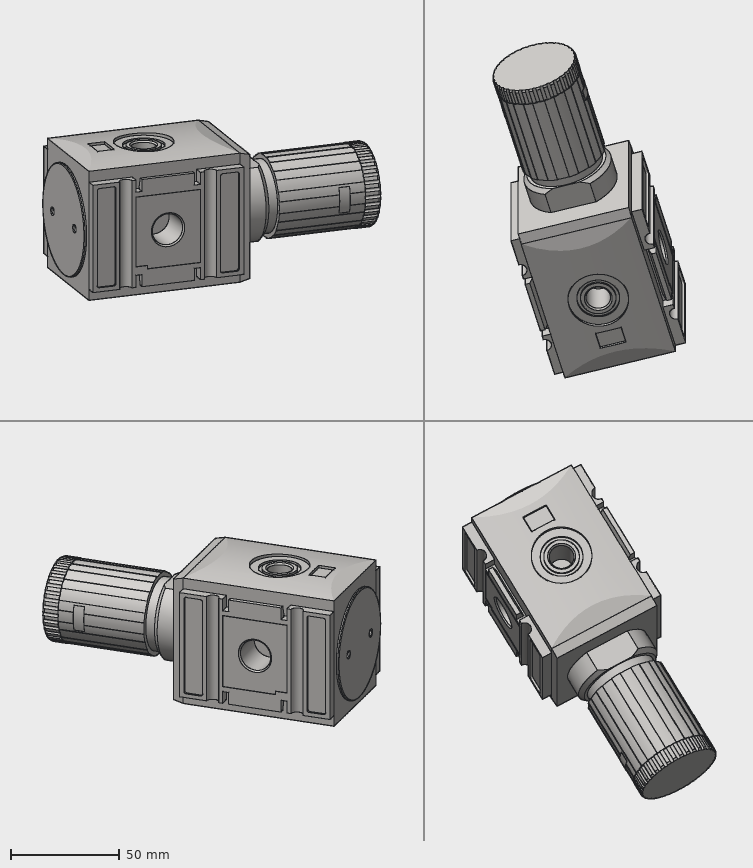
import cadquery as cq


BODY_WIDTH = 53.1
BODY_EDGE_HEIGHT = 62.8
BODY_CROWN_HEIGHT = 67.2
BLOCK_LENGTH = 75.0
COLLAR_LENGTH = 5.0
SLOPE_LENGTH = 8.5
COLLAR_END = BLOCK_LENGTH + COLLAR_LENGTH
MID_Y = BLOCK_LENGTH / 2
CROWN_RISE = (BODY_CROWN_HEIGHT - BODY_EDGE_HEIGHT) / 2
SLOPE = CROWN_RISE / SLOPE_LENGTH

OVERALL_WIDTH = 63.0
PLATE_HEIGHT = 52.2
PLATE_SETBACK = 0.08
FACE_X = OVERALL_WIDTH / 2
CHANNEL_RADIUS = 3.0
CHANNEL_OFFSET = 21.0
POCKET_SIZE = (9.3, 48.3)
POCKET_OFFSET = 30.6
POCKET_DEPTH = 1.2
POCKET_CORNER = 1.2
NOTCH_LENGTH = 32.0
NOTCH_DEPTH = 5.8
NOTCH_FLOOR_Z = PLATE_HEIGHT / 2 - NOTCH_DEPTH
LIP_LENGTH = 26.1
LIP_TOP = 2.2
LIP_BASE = 4.0
PANEL_HEIGHT = 35.5
PANEL_DEPTH = 0.3
PANEL_STEP = (5.7, 1.6)

SIDE_PORT_DIAMETER = 15.0
SIDE_PORT_MOUTH = 16.5
SIDE_PORT_DEPTH = 18.0
SPOTFACE_DIAMETER = 28.0
SPOTFACE_Z = 32.0
SEAL_GROOVE_DIAMETERS = (19.8, 16.5)
SEAL_GROOVE_DEPTH = 1.0
GAUGE_PORT_DIAMETER = 11.4
GAUGE_PORT_MOUTH = 12.9
GAUGE_PORT_DEPTH = 18.0

LABEL_WIDTH = 12.3
LABEL_LENGTH = 8.2
LABEL_Y = 16.4
LABEL_FLOOR_Z = 32.2

CAP_DIAMETER = 53.5
CAP_NECK_DIAMETER = 43.8
CAP_NECK_LENGTH = 1.2
CAP_THICKNESS = 1.2
CAP_CHAMFER = 0.5
CAP_END = -(CAP_NECK_LENGTH + CAP_THICKNESS)
PIN_HOLE_DIAMETER = 3.2
PIN_HOLE_MOUTH = 4.0
PIN_HOLE_DEPTH = 3.0
PIN_HOLE_SPACING = 28.0

BONNET_DIAMETER = 42.0
BONNET_FLATS = 36.0
BONNET_END = 92.2
BONNET_CHAMFER = (2.0, 2.1)
NECK_DIAMETER = 35.0
KNOB_START = 97.2

TOTAL_LENGTH = 150.0
KNOB_END = CAP_END + TOTAL_LENGTH
GRIP_LENGTH = 7.6
GRIP_START = KNOB_END - GRIP_LENGTH
GRIP_RADIUS = 20.1
GRIP_CHAMFER = (0.5, 1.0)
KNURL_COUNT = 36
KNURL_RADIUS = 0.82
SLEEVE_RADIUS = 20.0
FLUTE_COUNT = 12
FLUTE_RADIUS = 19.6
FLUTE_WIDTH = 5.7
TAB_START = 127.0
TAB_LENGTH = 5.2
TAB_HEIGHT = 12.5


def disc(radius, y_start, y_end):
    """Cylinder on the knob axis between two Y positions."""
    return cq.Workplane("XZ", origin=(0, y_start, 0)).circle(radius).extrude(y_start - y_end)


def block(x_range, y_range, z_range):
    """Axis-aligned box given by its limits."""
    (x0, x1), (y0, y1), (z0, z1) = x_range, y_range, z_range
    return cq.Workplane("XY").box(x1 - x0, y1 - y0, z1 - z0, centered=False).translate((x0, y0, z0))


def centred(middle, size):
    return (middle - size / 2, middle + size / 2)


def bore(face, axis, mouth, diameter, depth):
    """Blind hole with a 45 degree mouth chamfer, starting at a face point and running along an axis."""
    chamfer = (mouth - diameter) / 2
    profile = [
        (0, 0),
        (mouth / 2, 0),
        (diameter / 2, chamfer),
        (diameter / 2, depth),
        (0, depth),
    ]
    side = (0, 0, 1) if axis[1] else (0, 1, 0)
    normal = cq.Vector(*side).cross(cq.Vector(*axis))
    plane = cq.Plane(origin=face, xDir=side, normal=normal.toTuple())
    return cq.Workplane(plane).polyline(profile).close().revolve(360, (0, 0), (0, 1))


def mirrored_z(shape):
    return shape.union(shape.mirror("XY"))


def mirrored_x(shape):
    return shape.union(shape.mirror("YZ"))


def crowned_envelope(y_start, y_end):
    """Part of the arched square envelope between two Y positions, trimmed by its end slopes."""
    half_width = BODY_WIDTH / 2
    edge_z = BODY_EDGE_HEIGHT / 2
    crown_z = BODY_CROWN_HEIGHT / 2
    crowned = (
        cq.Workplane("XZ", origin=(0, y_start, 0))
        .moveTo(-half_width, -edge_z)
        .threePointArc((0, -crown_z), (half_width, -edge_z))
        .lineTo(half_width, edge_z)
        .threePointArc((0, crown_z), (-half_width, edge_z))
        .close()
        .extrude(y_start - y_end)
    )
    ridge_z = edge_z + SLOPE * MID_Y
    end_z = edge_z - SLOPE * COLLAR_LENGTH
    slopes = (
        cq.Workplane("YZ")
        .polyline([
            (0, edge_z),
            (MID_Y, ridge_z),
            (COLLAR_END, end_z),
            (COLLAR_END, -end_z),
            (MID_Y, -ridge_z),
            (0, -edge_z),
        ])
        .close()
        .extrude(half_width, both=True)
    )
    return crowned.intersect(slopes)



def notch():
    """Cut in the plate's upper edge that leaves a lip with a sloping back."""
    plate_top = PLATE_HEIGHT / 2
    pocket = block((-FACE_X, -BODY_WIDTH / 2), centred(MID_Y, NOTCH_LENGTH), (NOTCH_FLOOR_Z, plate_top))
    lip = (
        cq.Workplane("XZ", origin=(0, MID_Y, 0))
        .polyline([
            (-FACE_X, NOTCH_FLOOR_Z),
            (-FACE_X + LIP_BASE, NOTCH_FLOOR_Z),
            (-FACE_X + LIP_TOP, plate_top),
            (-FACE_X, plate_top),
        ])
        .close()
        .extrude(LIP_LENGTH / 2, both=True)
    )
    return pocket.cut(lip)


def port_panel():
    """Shallow rectangular recess around the side port, with one stepped corner."""
    y_low, y_high = centred(MID_Y, NOTCH_LENGTH)
    z_low, z_high = centred(0, PANEL_HEIGHT)
    step_y, step_z = PANEL_STEP
    return (
        cq.Workplane("YZ", origin=(-FACE_X, 0, 0))
        .polyline([
            (y_low, z_high),
            (y_high, z_high),
            (y_high, z_low),
            (y_low + step_y, z_low),
            (y_low + step_y, z_low + step_z),
            (y_low, z_low + step_z),
        ])
        .close()
        .extrude(PANEL_DEPTH)
    )


def flange_plate():
    """Flange plate on the -X side with channels, pockets, notches and the port panel."""
    plate = block((-FACE_X, -BODY_WIDTH / 2), (PLATE_SETBACK, BLOCK_LENGTH), centred(0, PLATE_HEIGHT))
    for direction in (-1, 1):
        channel_y = MID_Y + direction * CHANNEL_OFFSET
        channel = (
            cq.Workplane("XY")
            .center(-FACE_X, channel_y)
            .circle(CHANNEL_RADIUS)
            .extrude(PLATE_HEIGHT / 2, both=True)
        )
        pocket = (
            cq.Workplane("YZ", origin=(-FACE_X, MID_Y + direction * POCKET_OFFSET, 0))
            .rect(*POCKET_SIZE)
            .extrude(POCKET_DEPTH)
            .edges("|X")
            .fillet(POCKET_CORNER)
        )
        plate = plate.cut(channel).cut(pocket)
    return plate.cut(mirrored_z(notch())).cut(port_panel())


def side_port():
    """Blind port in the -X flange plate."""
    face = (-FACE_X + PANEL_DEPTH, MID_Y, 0)
    return bore(face, (1, 0, 0), SIDE_PORT_MOUTH, SIDE_PORT_DIAMETER, SIDE_PORT_DEPTH)


def gauge_port():
    """Spot face, seal groove and blind port in the crowned top."""
    above_crown = BODY_CROWN_HEIGHT / 2 - SPOTFACE_Z
    outer, inner = SEAL_GROOVE_DIAMETERS
    base = cq.Workplane("XY", origin=(0, MID_Y, SPOTFACE_Z))
    spotface = base.circle(SPOTFACE_DIAMETER / 2).extrude(above_crown)
    seal_groove = base.circle(outer / 2).circle(inner / 2).extrude(-SEAL_GROOVE_DEPTH)
    hole = bore(
        (0, MID_Y, SPOTFACE_Z), (0, 0, -1), GAUGE_PORT_MOUTH, GAUGE_PORT_DIAMETER, GAUGE_PORT_DEPTH
    )
    return spotface.union(seal_groove).union(hole)


def label_recess():
    return block(
        centred(0, LABEL_WIDTH), centred(LABEL_Y, LABEL_LENGTH), (LABEL_FLOOR_Z, BODY_CROWN_HEIGHT / 2)
    )


def bottom_cap():
    rim = disc(CAP_DIAMETER / 2, CAP_END, -CAP_NECK_LENGTH).faces("<Y").chamfer(CAP_CHAMFER)
    return rim.union(disc(CAP_NECK_DIAMETER / 2, -CAP_NECK_LENGTH, 0))


def pin_hole():
    """Spanner hole in the cap on the -X side."""
    face = (-PIN_HOLE_SPACING / 2, CAP_END, 0)
    return bore(face, (0, 1, 0), PIN_HOLE_MOUTH, PIN_HOLE_DIAMETER, PIN_HOLE_DEPTH)


def make_housing():
    housing = crowned_envelope(0, BLOCK_LENGTH).union(mirrored_x(flange_plate()))
    housing = housing.union(bottom_cap())
    housing = housing.cut(mirrored_x(side_port()))
    housing = housing.cut(mirrored_z(gauge_port()))
    housing = housing.cut(mirrored_z(label_recess()))
    return housing.cut(mirrored_x(pin_hole()))



def bonnet():
    """Round collar with a chamfered end and two flats, carrying the knob neck."""
    radius = BONNET_DIAMETER / 2
    chamfer_radial, chamfer_axial = BONNET_CHAMFER
    collar = (
        cq.Workplane("XY")
        .polyline([
            (0, COLLAR_END),
            (radius, COLLAR_END),
            (radius, BONNET_END - chamfer_axial),
            (radius - chamfer_radial, BONNET_END),
            (0, BONNET_END),
        ])
        .close()
        .revolve(360, (0, 0), (0, 1))
    )
    flats = block(centred(0, BONNET_DIAMETER), (COLLAR_END, BONNET_END), centred(0, BONNET_FLATS))
    return collar.intersect(flats).union(disc(NECK_DIAMETER / 2, BONNET_END, KNOB_START))


def fluted_sleeve():
    """Knob sleeve with shallow grooves along it, which have parallel walls and a round floor."""
    ribs = disc(SLEEVE_RADIUS, KNOB_START, GRIP_START)
    flute = block((0, SLEEVE_RADIUS), (KNOB_START, GRIP_START), centred(0, FLUTE_WIDTH))
    for index in range(FLUTE_COUNT):
        ribs = ribs.cut(flute.rotate((0, 0, 0), (0, 1, 0), index * 360 / FLUTE_COUNT))
    return ribs.union(disc(FLUTE_RADIUS, KNOB_START, GRIP_START))


def knurled_grip():
    """End ring with a chamfered edge and round axial grooves."""
    chamfer_radial, chamfer_axial = GRIP_CHAMFER
    grip = (
        cq.Workplane("XY")
        .polyline([
            (0, GRIP_START),
            (GRIP_RADIUS, GRIP_START),
            (GRIP_RADIUS, KNOB_END - chamfer_axial),
            (GRIP_RADIUS - chamfer_radial, KNOB_END),
            (0, KNOB_END),
        ])
        .close()
        .revolve(360, (0, 0), (0, 1))
    )
    grooves = (
        cq.Workplane("XZ", origin=(0, GRIP_START, 0))
        .polarArray(GRIP_RADIUS, 0, 360, KNURL_COUNT)
        .circle(KNURL_RADIUS)
        .extrude(-GRIP_LENGTH)
    )
    return grip.cut(grooves)


def index_tabs():
    """Two raised tabs on the sleeve, on the +X and -X sides."""
    ring = disc(GRIP_RADIUS, TAB_START, TAB_START + TAB_LENGTH)
    window = block((0, GRIP_RADIUS), (TAB_START, TAB_START + TAB_LENGTH), centred(0, TAB_HEIGHT))
    return ring.intersect(mirrored_x(window))


def make_operating_head():
    collar = crowned_envelope(BLOCK_LENGTH, COLLAR_END)
    knob = fluted_sleeve().union(knurled_grip()).union(index_tabs())
    return collar.union(bonnet()).union(knob)


housing = make_housing()
operating_head = make_operating_head()

result = cq.Compound.makeCompound([housing.solids().val(), operating_head.solids().val()])